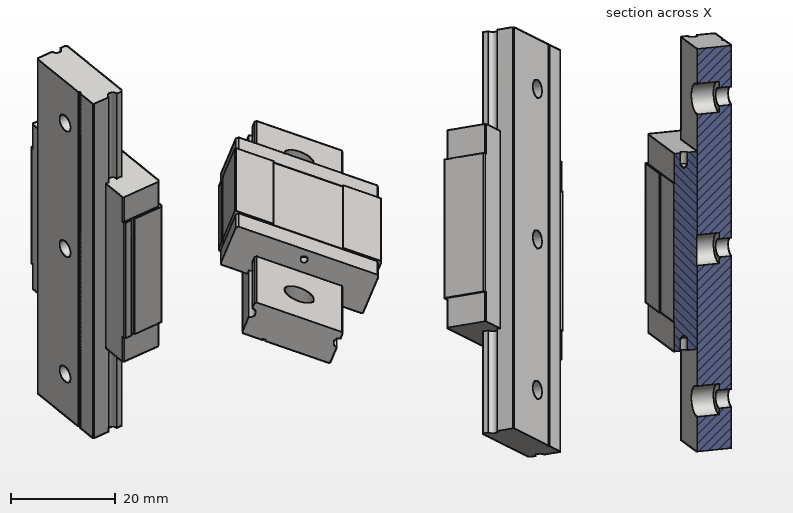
import cadquery as cq

rail_length = 80.0
rail_width = 18.0
rail_height = 7.0
rail_bottom_chamfer = 0.2
rail_top_chamfer = 0.3
raceway_radius = 1.0
raceway_height = 4.6
mark_x = 4.5
mark_width = 0.6
mark_depth = 0.2
hole_pitch = 30.0
hole_diameter = 3.5
counterbore_diameter = 6.0
counterbore_depth = 4.5

total_height = 12.0
carriage_bottom = 3.0
block_width = 30.0
block_length = 27.6
block_chamfer = 0.2
relief_width = 14.2
relief_depth = 0.2
side_groove_height = 5.0
side_groove_width = 0.6
side_groove_depth = 0.2
carriage_length = 39.4
cap_width = 29.1
cap_step = 0.3
cap_top = total_height - cap_step
cap_bottom_chamfer = 0.2
cap_top_chamfer = 0.4
oil_hole_height = 9.7
oil_hole_diameter = 1.4
oil_hole_depth = 2.4
oil_tip_depth = oil_hole_diameter / 2

mounting_face_y = -total_height / 2
cap_length = (carriage_length - block_length) / 2


def bar(width, bottom, top, length, x=0.0):
    """Bar along Z; bottom and top are heights above the mounting face."""
    return (
        cq.Workplane("XY")
        .box(width, top - bottom, length)
        .translate((x, mounting_face_y + (bottom + top) / 2, 0))
    )


def chamfer_long_edges(body, bottom_size, top_size):
    """Chamfer the edges along Z on the -Y (bottom) and +Y (top) faces."""
    body = body.faces("<Y").edges("|Z").chamfer(bottom_size)
    return body.faces(">Y").edges("|Z").chamfer(top_size)


def make_rail_profile(length):
    """Rail bar with a round raceway along each side."""
    profile = bar(rail_width, 0, rail_height, length)
    profile = chamfer_long_edges(profile, rail_bottom_chamfer, rail_top_chamfer)
    raceways = (
        cq.Workplane("XY")
        .pushPoints([(side * rail_width / 2, mounting_face_y + raceway_height) for side in (-1, 1)])
        .circle(raceway_radius)
        .extrude(length / 2, both=True)
    )
    return profile.cut(raceways)


def make_rail():
    rail = make_rail_profile(rail_length)
    rail = rail.cut(bar(mark_width, 0, mark_depth, rail_length, mark_x))
    return (
        rail.copyWorkplane(cq.Workplane("XZ", origin=(0, mounting_face_y + rail_height, 0)))
        .transformed(rotate=(180, 0, 0))
        .pushPoints([(0, step * hole_pitch) for step in (-1, 0, 1)])
        .cboreHole(hole_diameter, counterbore_diameter, counterbore_depth)
    )


def make_block():
    """Central block with a relieved top face and a groove along its +X side."""
    block = bar(block_width, carriage_bottom, total_height, block_length)
    block = block.edges("|Z").chamfer(block_chamfer)
    relief = bar(relief_width, total_height - relief_depth, total_height, block_length)
    side_groove = bar(
        2 * side_groove_depth,
        side_groove_height - side_groove_width / 2,
        side_groove_height + side_groove_width / 2,
        block_length,
        block_width / 2,
    )
    return block.cut(relief).cut(side_groove)


def make_end_cap(end):
    """End cap on the +Z (end = 1) or -Z (end = -1) end, with a blind oil hole."""
    cap = bar(cap_width, carriage_bottom, cap_top, cap_length)
    cap = chamfer_long_edges(cap, cap_bottom_chamfer, cap_top_chamfer)
    cap = cap.translate((0, 0, end * (block_length + cap_length) / 2))
    outer_z = carriage_length / 2
    oil_hole = (
        cq.Workplane("XZ")
        .moveTo(0, outer_z)
        .lineTo(oil_hole_diameter / 2, outer_z)
        .lineTo(oil_hole_diameter / 2, outer_z - oil_hole_depth)
        .lineTo(0, outer_z - oil_hole_depth - oil_tip_depth)
        .close()
        .revolve(360, (0, 0, 0), (0, 1, 0))
    )
    if end < 0:
        oil_hole = oil_hole.mirror("XY")
    return cap.cut(oil_hole.translate((0, mounting_face_y + oil_hole_height, 0)))


def make_carriage():
    """Carriage whose channel fits closely around the rail and its raceways."""
    carriage = make_block()
    for end in (-1, 1):
        carriage = carriage.union(make_end_cap(end))
    return carriage.cut(make_rail_profile(rail_length))


rail = make_rail()
carriage = make_carriage()

result = cq.Compound.makeCompound([rail.val(), carriage.val()])